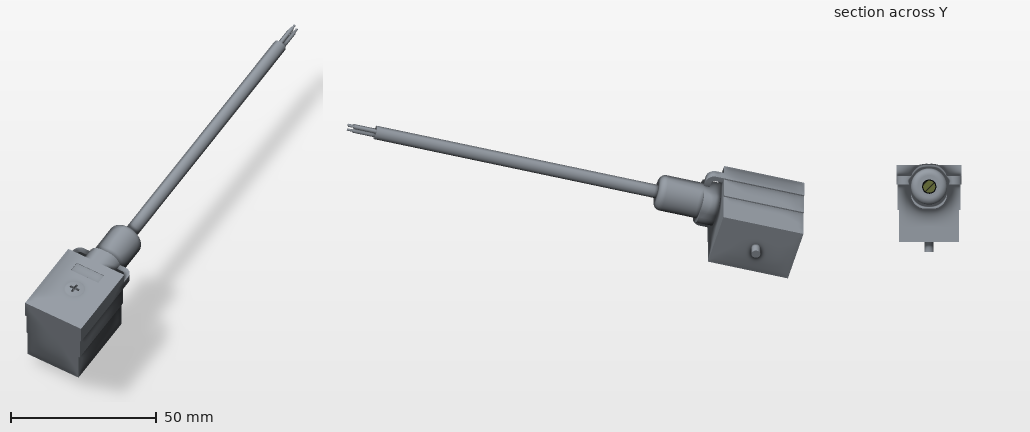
import cadquery as cq
import math


housing_length = 28.5
tier_widths = [22.5, 21.5, 20.5]
tier_heights = [6.75, 8.65, 11.1]
housing_top = 7.35
housing_bottom = housing_top - sum(tier_heights)
housing_front = -14.2
housing_back = housing_front + housing_length

collar_length = 5.75
collar_end = housing_back + collar_length
boot_diameter = 12.4
boot_length = 15.3
boot_end = collar_end + boot_length
boot_edge_radius = 2.3
collar_width = boot_diameter
collar_height = 15.0
collar_flat = 2.4
collar_corner_radius = (collar_width - collar_flat) / 2
loop_bar = 2.0
loop_corner_radius = 3.0
loop_thickness = 3.0
loop_bottom = housing_top - tier_heights[0]

overall_length = 159.5
tip_end = housing_front + overall_length
cable_diameter = 4.7
stripped_length = 9.8
conductor_length = 2.0
cable_end = tip_end - stripped_length
insulation_end = tip_end - conductor_length
wire_diameter = 1.4
conductor_diameter = 0.8
wire_count = 3
wire_spacing = 1.75
wire_circle_radius = wire_spacing / (2 * math.sin(math.pi / wire_count))

head_diameter = 7.1
head_rise = 0.5
recess_length = 3.6
recess_width = 0.9
recess_depth = 1.2
screw_diameter = 3.1
screw_projection = 3.41
screw_bottom = housing_bottom - screw_projection

label_width = 11.0
label_length = 3.85
label_depth = 0.2
label_y = 8.5


def rod(diameter, start, end, x=0, z=0):
    """Cylinder along Y between two Y positions."""
    plane = cq.Workplane("XZ", origin=(x, start, z))
    return plane.circle(diameter / 2).extrude(start - end)


def housing():
    body = cq.Workplane("XY")
    tier_top = housing_top
    for width, height in zip(tier_widths, tier_heights):
        tier_top -= height
        tier = cq.Workplane("XY").box(width, housing_length, height, centered=(True, False, False))
        body = body.union(tier.translate((0, housing_front, tier_top)))
    return body


def collar():
    """Block with rounded long edges that joins the boot to the housing."""
    block = cq.Workplane("XY").box(collar_width, collar_length, collar_height)
    block = block.edges("|Y").fillet(collar_corner_radius)
    return block.translate((0, housing_back + collar_length / 2, housing_top - collar_height / 2))


def loop():
    """U-shaped bar behind the housing that leaves a window on each side of the collar."""
    width = tier_widths[0]
    inner_length = collar_length - loop_bar
    outer = cq.Workplane("XY").box(width, collar_length, loop_thickness, centered=(True, False, False))
    outer = outer.edges("|Z and >Y").fillet(loop_corner_radius)
    inner = cq.Workplane("XY").box(
        width - 2 * loop_bar, inner_length, loop_thickness, centered=(True, False, False)
    )
    inner = inner.edges("|Z and >Y").fillet(loop_corner_radius - loop_bar)
    return outer.cut(inner).translate((0, housing_back, loop_bottom))


def boot():
    return rod(boot_diameter, housing_back, boot_end).faces(">Y").edges().fillet(boot_edge_radius)


def cable():
    body = rod(cable_diameter, housing_back, cable_end)
    for index in range(wire_count):
        angle = math.pi / 2 + index * 2 * math.pi / wire_count
        x = wire_circle_radius * math.cos(angle)
        z = wire_circle_radius * math.sin(angle)
        body = body.union(rod(wire_diameter, housing_back, insulation_end, x, z))
        body = body.union(rod(conductor_diameter, housing_back, tip_end, x, z))
    return body


def screw_head():
    """Spherical cap standing on the top face of the housing."""
    head_radius = head_diameter / 2
    sphere_radius = (head_radius**2 + head_rise**2) / (2 * head_rise)
    half_angle = math.asin(head_radius / sphere_radius) / 2
    arc_mid_x = sphere_radius * math.sin(half_angle)
    arc_mid_z = head_rise - sphere_radius * (1 - math.cos(half_angle))
    profile = (
        cq.Workplane("XZ", origin=(0, 0, housing_top))
        .lineTo(head_radius, 0)
        .threePointArc((arc_mid_x, arc_mid_z), (0, head_rise))
        .close()
    )
    return profile.revolve(360, (0, 0), (0, 1))


def screw_recess():
    bar = cq.Workplane("XY").box(recess_length, recess_width, recess_depth, centered=(True, True, False))
    cross = bar.union(bar.rotate((0, 0, 0), (0, 0, 1), 90))
    return cross.translate((0, 0, housing_top + head_rise - recess_depth))


def screw_end():
    """Screw shank below the housing."""
    plane = cq.Workplane("XY", origin=(0, 0, screw_bottom))
    return plane.circle(screw_diameter / 2).extrude(screw_projection)


def label_pocket():
    pocket = cq.Workplane("XY").box(label_width, label_length, label_depth)
    return pocket.translate((0, label_y, housing_top - label_depth / 2))


result = (
    housing()
    .union(collar())
    .union(loop())
    .union(boot())
    .union(cable())
    .union(screw_head())
    .union(screw_end())
    .cut(screw_recess())
    .cut(label_pocket())
)